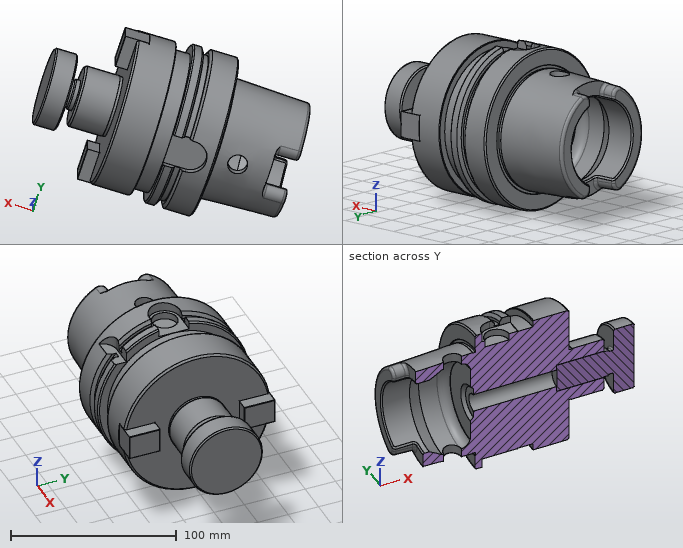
import cadquery as cq
import math


taper_length = 50.0
taper_end_radius = 35.9
taper_root_radius = 37.88
bore_diameter = 53.0
clamp_shoulder_x = -30.7
clamp_shoulder_angle = 30
cavity_radius = 31.5
bore_floor_x = -3.2
bore_floor_radius = 24.9
bore_mouth_chamfer = 1.0
edge_fillet = 1.9
drive_slot_width = 20.0
drive_slot_depths = {1: 10.0, -1: 15.0}
drive_slot_side_fillet = 5.0
cross_hole_diameter = 12.0
cross_hole_x = -15.0
relief_width = 1.5
relief_depth = 0.3
face_relief_depth = 0.3
face_relief_radius = 39.7

pocket_mouth_diameter = 25.2
pocket_diameter = 21.0
pocket_depth = 2.2
coolant_hole_diameter = 12.0

flange_width = 29.0
flange_radius = 100.0 / 2
flange_chamfer = 1.0
groove_x = 20.0
groove_floor_radius = 45.8
groove_floor_width = 3.6
groove_shoulder_radius = 47.7
groove_mouth_width = 6.6
notch_width = 20.0
notch_x = 15.0
notch_floor = 44.0
corner_notch = 31.3
chip_hole_diameter = 16.0
chip_hole_depth = 4.5

neck_radius = 43.8
body_start = 39.0
body_end = 63.6
body_radius = 96.9 / 2
body_start_chamfer = 0.5
body_end_chamfer = 1.3
spigot_end = 87.4
spigot_radius = 38.1 / 2
spigot_chamfer = 1.3
spigot_relief_radius = 37.6 / 2
spigot_relief_width = 1.7

key_width = 16.0
key_start = 55.9
key_end = 71.3
key_inner = 27.7
key_outer = 47.9
key_chamfer = 0.3

thread_diameter = 19.0
thread_start = 55.1
thread_end = 90.0
screw_neck_diameter = 17.3
screw_neck_fillet = 1.0
head_start = 93.5
head_end = 107.5
head_radius = 48.0 / 2
head_chamfer = 1.0


def revolve_profile(points):
    """Revolve an (x, radius) outline around the X axis."""
    return cq.Workplane("XY").polyline(points).close().revolve(360, (0, 0, 0), (1, 0, 0))


def x_cylinder(diameter, start, end):
    return cq.Workplane("YZ", origin=(start, 0, 0)).circle(diameter / 2).extrude(end - start)


def box_between(x_range, y_range, z_range):
    lows, highs = zip(x_range, y_range, z_range)
    sizes = [high - low for low, high in zip(lows, highs)]
    return cq.Workplane("XY").box(*sizes, centered=False).translate(lows)


def make_taper():
    """Hollow cone with a rounded drive slot on each side of its open end."""
    taper = revolve_profile([
        (-taper_length, 0),
        (-taper_length, taper_end_radius),
        (-relief_width, taper_root_radius),
        (-relief_width + relief_depth, taper_root_radius - relief_depth),
        (face_relief_depth, taper_root_radius - relief_depth),
        (face_relief_depth, 0),
    ])
    taper = taper.cut(x_cylinder(bore_diameter, -taper_length, bore_floor_x))
    for side, depth in drive_slot_depths.items():
        taper = cut_drive_slot(taper, side, depth)
    outer_edges = [edge for edge in taper.faces("<X").edges().vals() if not is_bore_edge(edge)]
    taper = taper.newObject(outer_edges).fillet(edge_fillet)
    mouth_edges = [edge for edge in taper.faces("<X").edges().vals() if is_bore_edge(edge)]
    return taper.newObject(mouth_edges).chamfer(bore_mouth_chamfer)


def is_bore_edge(edge):
    return edge.geomType() == "CIRCLE" and abs(edge.radius() - bore_diameter / 2) < 0.02


def cut_drive_slot(taper, side, depth):
    """Cut one slot, round its walls into the cone and fillet its floor corners."""
    half_width = drive_slot_width / 2
    floor_x = depth - taper_length
    slot = box_between((-taper_length, floor_x), (-half_width, half_width), sorted((0, side * flange_radius)))
    taper = taper.cut(slot)
    wall_height = math.sqrt(taper_end_radius**2 - half_width**2)
    wall_edges = cq.selectors.BoxSelector(
        (-taper_length, -drive_slot_width, side * (wall_height - 1.5)),
        (floor_x - 0.2, drive_slot_width, side * (wall_height + 1.5)))
    taper = taper.edges(wall_edges).edges("not #X").fillet(drive_slot_side_fillet)
    floor_face = taper.faces(cq.selectors.NearestToPointSelector(
        (floor_x, 0, side * (bore_diameter / 2 + taper_end_radius) / 2)))
    corners = [edge for edge in floor_face.edges().vals() if is_slot_corner(edge)]
    return taper.newObject(corners).fillet(edge_fillet)


def is_slot_corner(edge):
    """True for the floor edges that lie inside the wall, away from the bore and the cone."""
    center = edge.Center()
    return edge.geomType() != "CIRCLE" and math.hypot(center.y, center.z) < taper_end_radius - edge_fillet


def make_flange_and_spigot():
    """Grooved flange, neck, body and spigot as one turned shape."""
    groove_floor = groove_floor_width / 2
    groove_mouth = groove_mouth_width / 2
    return revolve_profile([
        (0, 0),
        (0, flange_radius - flange_chamfer),
        (flange_chamfer, flange_radius),
        (groove_x - groove_mouth, flange_radius),
        (groove_x - groove_floor, groove_shoulder_radius),
        (groove_x - groove_floor, groove_floor_radius),
        (groove_x + groove_floor, groove_floor_radius),
        (groove_x + groove_floor, groove_shoulder_radius),
        (groove_x + groove_mouth, flange_radius),
        (flange_width - flange_chamfer, flange_radius),
        (flange_width, flange_radius - flange_chamfer),
        (flange_width, neck_radius),
        (body_start, neck_radius),
        (body_start, body_radius - body_start_chamfer),
        (body_start + body_start_chamfer, body_radius),
        (body_end - body_end_chamfer, body_radius),
        (body_end, body_radius - body_end_chamfer),
        (body_end, spigot_relief_radius),
        (body_end + spigot_relief_width, spigot_relief_radius),
        (body_end + spigot_relief_width, spigot_radius),
        (spigot_end - spigot_chamfer, spigot_radius),
        (spigot_end, spigot_radius - spigot_chamfer),
        (spigot_end, 0),
    ])


def make_face_relief():
    """Shallow ring cut into the flange face around the taper root."""
    return revolve_profile([
        (0, taper_root_radius - relief_depth),
        (face_relief_depth, taper_root_radius - relief_depth),
        (face_relief_depth, face_relief_radius - face_relief_depth),
        (0, face_relief_radius),
    ])


def make_flange_notch(floor_z):
    """Round-ended notch that runs out of the rear of the flange, centred on y = 0."""
    height = flange_radius - floor_z
    round_end = cq.Workplane("XY").center(notch_x, 0).circle(notch_width / 2).extrude(height)
    half_width = notch_width / 2
    straight = box_between((notch_x, flange_width), (-half_width, half_width), (0, height))
    return round_end.union(straight).translate((0, 0, floor_z))


def cut_flange_notches(housing):
    top_notch = make_flange_notch(notch_floor)
    bottom_notch = top_notch.mirror("XY")
    corner = make_flange_notch(corner_notch).translate((0, -corner_notch - notch_width / 2, 0))
    chip_hole = cq.Workplane("XY", origin=(notch_x, 0, notch_floor)).circle(chip_hole_diameter / 2)
    return housing.cut(top_notch).cut(bottom_notch).cut(corner).cut(chip_hole.extrude(-chip_hole_depth))


def make_clamping_cavity():
    """Undercut behind the bore lip: conical clamping shoulder, wide bore and rounded floor."""
    lip_radius = bore_diameter / 2
    shoulder_length = (cavity_radius - lip_radius) / math.tan(math.radians(clamp_shoulder_angle))
    floor_fillet = cavity_radius - bore_floor_radius
    cavity = revolve_profile([
        (clamp_shoulder_x, 0),
        (clamp_shoulder_x, lip_radius),
        (clamp_shoulder_x + shoulder_length, cavity_radius),
        (bore_floor_x, cavity_radius),
        (bore_floor_x, 0),
    ])
    return cavity.faces(">X").edges().fillet(floor_fillet)


def make_cross_hole():
    """Hole through both walls of the taper."""
    hole = cq.Workplane("XY").center(cross_hole_x, 0).circle(cross_hole_diameter / 2)
    return hole.extrude(flange_radius, both=True)


def make_coolant_passage():
    """Conical pocket in the bore floor and the hole from it to the screw."""
    pocket_floor = bore_floor_x + pocket_depth
    pocket = revolve_profile([
        (bore_floor_x, 0),
        (bore_floor_x, pocket_mouth_diameter / 2),
        (pocket_floor, pocket_diameter / 2),
        (pocket_floor, 0),
    ])
    return pocket.union(x_cylinder(coolant_hole_diameter, pocket_floor, thread_start))


def make_key_blank(side):
    half_width = key_width / 2
    y_range = sorted((side * key_inner, side * key_outer))
    return box_between((key_start, key_end), y_range, (-half_width, half_width))


def make_key(side):
    """Drive key with its front edges broken."""
    return make_key_blank(side).faces(">X").edges().chamfer(key_chamfer)


def cut_key_seats(housing):
    half_width = key_width / 2
    for side in (1, -1):
        y_range = sorted((side * key_inner, side * flange_radius))
        housing = housing.cut(box_between((key_start, body_end), y_range, (-half_width, half_width)))
    return housing


def make_housing():
    housing = make_flange_and_spigot().cut(make_face_relief()).union(make_taper())
    housing = housing.cut(make_clamping_cavity()).cut(make_cross_hole())
    housing = cut_flange_notches(housing)
    housing = housing.cut(make_coolant_passage())
    housing = cut_key_seats(housing)
    return housing.cut(x_cylinder(thread_diameter, thread_start, spigot_end))


def make_screw():
    """Clamping screw: thread, necked section and round head."""
    thread_radius = thread_diameter / 2
    neck = screw_neck_diameter / 2
    screw = revolve_profile([
        (thread_start, 0),
        (thread_start, thread_radius),
        (thread_end, thread_radius),
        (thread_end + thread_radius - neck, neck),
        (head_start, neck),
        (head_start, head_radius - head_chamfer),
        (head_start + head_chamfer, head_radius),
        (head_end - head_chamfer, head_radius),
        (head_end, head_radius - head_chamfer),
        (head_end, 0),
    ])
    neck_corner = cq.selectors.BoxSelector(
        (head_start - 0.2, -thread_radius, -thread_radius), (head_start + 0.2, thread_radius, thread_radius),
        boundingbox=True)
    return screw.edges(neck_corner).fillet(screw_neck_fillet)


housing = make_housing()
screw = make_screw()
keys = [make_key(side) for side in (1, -1)]

result = cq.Compound.makeCompound([housing.val(), screw.val(), *[key.val() for key in keys]])